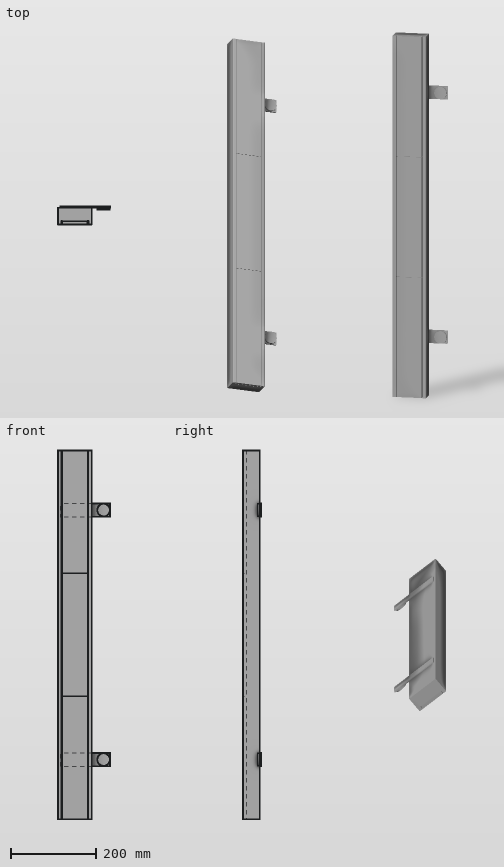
import cadquery as cq

LENGTH = 865.2
BODY_WIDTH = 79.7
BODY_DEPTH = 39.75
CORNER_RADIUS = 1.4

PANEL_COUNT = 3
PANEL_WIDTH = 60
SIDE_GAP = 1.5
PANEL_CENTER_X = BODY_WIDTH / 2
CHANNEL_DEPTH = 8
END_GAP = 0.3
SEAM_GAP = 0.6

OVERALL_WIDTH = 122.5
OVERALL_DEPTH = 43.0
BRACKET_START_X = 5.0
BRACKET_HEIGHT = 31.5
BRACKET_THICKNESS = 3.5
BRACKET_CENTERS_Z = (140.2, 725.2)
DISC_DIAMETER = 29.5
DISC_THICKNESS = 4.5
DISC_EDGE_GAP = 0.5


def box(x_start, y_start, z_start, x_size, y_size, z_size):
    """Box given by its lowest corner and its sizes."""
    block = cq.Workplane("XY").box(x_size, y_size, z_size, centered=False)
    return block.translate((x_start, y_start, z_start))


def make_body():
    """Housing with rounded front edges and an open-ended front channel."""
    body = box(0, 0, 0, BODY_WIDTH, BODY_DEPTH, LENGTH)
    body = body.edges("|Z and <Y").fillet(CORNER_RADIUS)
    channel_width = PANEL_WIDTH + 2 * SIDE_GAP
    channel = box(PANEL_CENTER_X - channel_width / 2, 0, 0, channel_width, CHANNEL_DEPTH, LENGTH)
    return body.cut(channel)


def make_panel(index):
    """One of the equal panels stacked along the channel, flush with the housing front."""
    usable_length = LENGTH - 2 * END_GAP - (PANEL_COUNT - 1) * SEAM_GAP
    panel_length = usable_length / PANEL_COUNT
    z_start = END_GAP + index * (panel_length + SEAM_GAP)
    x_start = PANEL_CENTER_X - PANEL_WIDTH / 2
    return box(x_start, 0, z_start, PANEL_WIDTH, CHANNEL_DEPTH, panel_length)


def make_bracket(center_z):
    """Flat plate across the back, with a disc on its free end."""
    plate_front = OVERALL_DEPTH - BRACKET_THICKNESS
    plate = box(
        BRACKET_START_X,
        plate_front,
        center_z - BRACKET_HEIGHT / 2,
        OVERALL_WIDTH - BRACKET_START_X,
        BRACKET_THICKNESS,
        BRACKET_HEIGHT,
    )
    disc_center_x = OVERALL_WIDTH - DISC_EDGE_GAP - DISC_DIAMETER / 2
    disc = (
        cq.Workplane("XZ", origin=(disc_center_x, plate_front, center_z))
        .circle(DISC_DIAMETER / 2)
        .extrude(DISC_THICKNESS)
    )
    return plate.union(disc)


result = make_body()
for panel_index in range(PANEL_COUNT):
    result = result.union(make_panel(panel_index))
for bracket_z in BRACKET_CENTERS_Z:
    result = result.union(make_bracket(bracket_z))